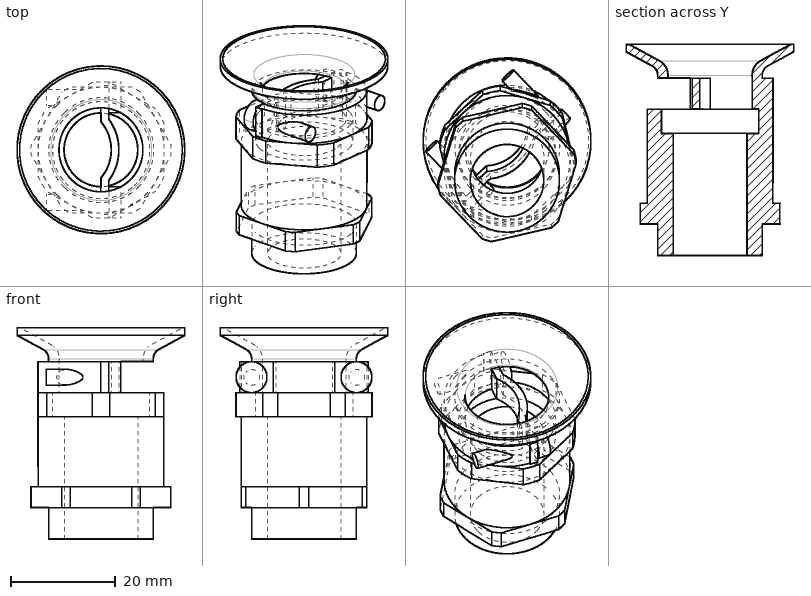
import math

import cadquery as cq

spigot_radius = 10.0
spigot_height = 6.0
lower_nut_height = 4.0
barrel_radius = 12.0
barrel_height = 13.3
upper_nut_height = 4.6
nut_across_flats = 24.0
lower_nut_corner_diameter = 26.7
upper_nut_corner_diameter = 26.0
bore_radius = 7.0
nut_counterbore_radius = 9.25

clamp_height = 5.9
collar_radius = 12.0
strap_thickness = 1.5
strap_length = 24.5
strap_bow_radius = 8.3
strap_bow_center_x = -6.35
screw_offset = 10.0
screw_diameter = 3.0
screw_tip_x = -10.4
screw_head_diameter = clamp_height
screw_head_thickness = 2.3

neck_outer_radius = 10.0
neck_bore_radius = 8.0
funnel_radius = 16.0
funnel_lip_width = 0.5
funnel_rim_height = 1.5
funnel_slope = math.radians(28.5)
outer_bend_radius = 2.0
inner_bend_radius = 3.1
overall_height = 40.3

lower_nut_z = spigot_height
barrel_z = lower_nut_z + lower_nut_height
upper_nut_z = barrel_z + barrel_height
clamp_z = upper_nut_z + upper_nut_height
funnel_z = clamp_z + clamp_height
screw_z = clamp_z + clamp_height / 2


def cylinder(radius, height, base_z):
    return cq.Workplane("XY").workplane(offset=base_z).circle(radius).extrude(height)


def nut(corner_diameter, height, base_z, rotation_degrees):
    """Hexagon whose corners are turned down to the corner diameter."""
    point_diameter = nut_across_flats / math.cos(math.pi / 6)
    hexagon = (
        cq.Workplane("XY")
        .workplane(offset=base_z)
        .polygon(6, point_diameter)
        .extrude(height)
        .rotate((0, 0, 0), (0, 0, 1), rotation_degrees)
    )
    return hexagon.intersect(cylinder(corner_diameter / 2, height, base_z))


def gland_body():
    body = cylinder(spigot_radius, spigot_height, 0)
    body = body.union(nut(lower_nut_corner_diameter, lower_nut_height, lower_nut_z, 0))
    body = body.union(cylinder(barrel_radius, barrel_height, barrel_z))
    body = body.union(nut(upper_nut_corner_diameter, upper_nut_height, upper_nut_z, 30))
    body = body.cut(cylinder(bore_radius, clamp_z, 0))
    return body.cut(cylinder(nut_counterbore_radius, upper_nut_height, upper_nut_z))


def half_collar():
    """Half ring on the -X side, bored to match the neck."""
    ring = cylinder(collar_radius, clamp_height, clamp_z).cut(
        cylinder(neck_bore_radius, clamp_height, clamp_z)
    )
    half = (
        cq.Workplane("XY")
        .workplane(offset=clamp_z)
        .center(-collar_radius / 2, 0)
        .rect(collar_radius, 2 * collar_radius)
        .extrude(clamp_height)
    )
    return ring.intersect(half)


def strap():
    """Straight-ended bar across the bore, bowed towards +X in the middle."""
    half_length = strap_length / 2
    outer_bow_radius = strap_bow_radius + strap_thickness
    inner_bow_y = math.sqrt(strap_bow_radius**2 - strap_bow_center_x**2)
    outer_bow_y = math.sqrt(outer_bow_radius**2 - (strap_thickness - strap_bow_center_x) ** 2)
    return (
        cq.Workplane("XY")
        .workplane(offset=clamp_z)
        .moveTo(0, -half_length)
        .lineTo(strap_thickness, -half_length)
        .lineTo(strap_thickness, -outer_bow_y)
        .threePointArc(
            (strap_bow_center_x + outer_bow_radius, 0),
            (strap_thickness, outer_bow_y),
        )
        .lineTo(strap_thickness, half_length)
        .lineTo(0, half_length)
        .lineTo(0, inner_bow_y)
        .threePointArc((strap_bow_center_x + strap_bow_radius, 0), (0, -inner_bow_y))
        .close()
        .extrude(clamp_height)
    )


def clamp_screw(y):
    """Screw along X: shank through the collar, round head against the strap."""
    shank = (
        cq.Workplane("YZ", origin=(screw_tip_x, y, screw_z))
        .circle(screw_diameter / 2)
        .extrude(strap_thickness - screw_tip_x)
    )
    head = (
        cq.Workplane("YZ", origin=(strap_thickness, y, screw_z))
        .circle(screw_head_diameter / 2)
        .extrude(screw_head_thickness)
    )
    return shank.union(head)


def bend(straight_radius, bend_radius, cone_end_radius, cone_end_z):
    """Start, middle and end of the arc joining a vertical wall to the cone that
    reaches cone_end_radius at cone_end_z, as (radius, z) points."""
    turn = math.pi / 2 - funnel_slope
    center_r = straight_radius + bend_radius
    end_r = center_r - bend_radius * math.cos(turn)
    end_z = cone_end_z - (cone_end_radius - end_r) * math.tan(funnel_slope)
    center_z = end_z - bend_radius * math.sin(turn)
    middle = (
        center_r - bend_radius * math.cos(turn / 2),
        center_z + bend_radius * math.sin(turn / 2),
    )
    return (straight_radius, center_z), middle, (end_r, end_z)


def funnel():
    rim_z = overall_height - funnel_rim_height
    lip_radius = funnel_radius - funnel_lip_width
    outer_start, outer_middle, outer_end = bend(
        neck_outer_radius, outer_bend_radius, funnel_radius, rim_z
    )
    inner_start, inner_middle, inner_end = bend(
        neck_bore_radius, inner_bend_radius, lip_radius, overall_height
    )
    return (
        cq.Workplane("XZ")
        .moveTo(neck_bore_radius, funnel_z)
        .lineTo(neck_outer_radius, funnel_z)
        .lineTo(*outer_start)
        .threePointArc(outer_middle, outer_end)
        .lineTo(funnel_radius, rim_z)
        .lineTo(funnel_radius, overall_height)
        .lineTo(lip_radius, overall_height)
        .lineTo(*inner_end)
        .threePointArc(inner_middle, inner_start)
        .close()
        .revolve(360, (0, 0, 0), (0, 1, 0))
    )


result = gland_body().union(half_collar()).union(strap()).union(funnel())
for side in (-1, 1):
    result = result.union(clamp_screw(side * screw_offset))